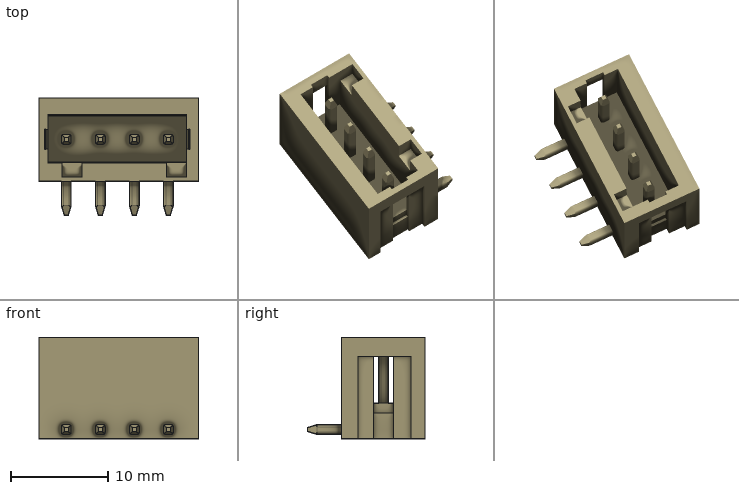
import cadquery as cq
import math


length = 16.45
depth = 8.6
height = 10.45

cavity_left = 0.95
cavity_length = 14.25
cavity_right = cavity_left + cavity_length
cavity_mid_x = cavity_left + cavity_length / 2
cavity_front = 1.88
cavity_back = 6.86
floor_z = 3.67
wall_draft = 1.1

opening_top_z = 8.45
recess_depth = 0.45
recess_front = 1.7
recess_back = 7.15
slot_width = 2.02
groove_depth = 0.35
ledge_z = 2.65
ledge_width = 0.25

notch_front = 0.43
notch_width = 2.05
left_notch_x = 2.39
notch_starts = (left_notch_x, cavity_right - notch_width)
notch_floor_z = opening_top_z

pin_count = 4
pin_pitch = 3.5
pin_width = 1.02
pin_corner_radius = 0.25
pin_tip_length = 1.0
pin_tip_width = 0.41
pin_row_y = 4.33
pin_top_z = 9.54
pin_leg_z = 0.95
pin_leg_length = 3.5
pin_embed = 0.5

slot_front = pin_row_y - slot_width / 2
slot_back = slot_front + slot_width


def block(x_range, y_range, z_range):
    """Box spanning the given (low, high) ranges."""
    spans = [high - low for low, high in (x_range, y_range, z_range)]
    corner = (x_range[0], y_range[0], z_range[0])
    return cq.Workplane("XY").box(*spans, centered=False).translate(corner)


def make_cavity():
    """Cavity whose front and back walls close in towards the floor."""
    inset = (height - floor_z) * math.tan(math.radians(wall_draft))
    profile = [
        (cavity_front, height),
        (cavity_front + inset, floor_z),
        (cavity_back - inset, floor_z),
        (cavity_back, height),
    ]
    section = cq.Workplane("YZ").workplane(offset=cavity_left).polyline(profile).close()
    return section.extrude(cavity_length)


def make_end_openings(outer_x, inner_x):
    """Recess, groove and slot in the end wall between its outer and cavity faces."""
    inward = math.copysign(1, inner_x - outer_x)
    recess_x = outer_x + inward * recess_depth
    groove_x = inner_x - inward * groove_depth
    ledge_x = inner_x - inward * ledge_width
    slot_y = (slot_front, slot_back)

    def cut_block(x_a, x_b, y_range, z_range):
        return block(sorted((x_a, x_b)), y_range, z_range)

    recess = cut_block(outer_x, recess_x, (recess_front, recess_back), (0, opening_top_z))
    groove = cut_block(groove_x, inner_x, slot_y, (ledge_z, height))
    slot = cut_block(outer_x, ledge_x, slot_y, (0, opening_top_z))
    return recess.union(groove).union(slot)


def make_pin(pin_length):
    """Pin pointing up from the origin, with rounded corners and a tapered square tip."""
    shank_length = pin_length - pin_tip_length
    bar = cq.Workplane("XY").rect(pin_width, pin_width).extrude(pin_length)
    bar = bar.edges("|Z").fillet(pin_corner_radius)
    envelope = cq.Workplane("XY").rect(pin_width, pin_width).extrude(shank_length)
    tip = (
        cq.Workplane("XY")
        .workplane(offset=shank_length)
        .rect(pin_width, pin_width)
        .workplane(offset=pin_tip_length)
        .rect(pin_tip_width, pin_tip_width)
        .loft(ruled=True)
    )
    return bar.intersect(envelope.union(tip))


result = block((0, length), (0, depth), (0, height)).cut(make_cavity())

result = result.cut(make_end_openings(0, cavity_left))
result = result.cut(make_end_openings(length, cavity_right))

for notch_x in notch_starts:
    notch_span = (notch_x, notch_x + notch_width)
    result = result.cut(block(notch_span, (notch_front, slot_front), (notch_floor_z, height)))

contact = make_pin(pin_top_z - floor_z + pin_embed)
leg = make_pin(pin_leg_length + pin_embed).rotate((0, 0, 0), (1, 0, 0), 90)
for index in range(pin_count):
    pin_x = cavity_mid_x + (index - (pin_count - 1) / 2) * pin_pitch
    result = result.union(contact.translate((pin_x, pin_row_y, floor_z - pin_embed)))
    result = result.union(leg.translate((pin_x, pin_embed, pin_leg_z)))